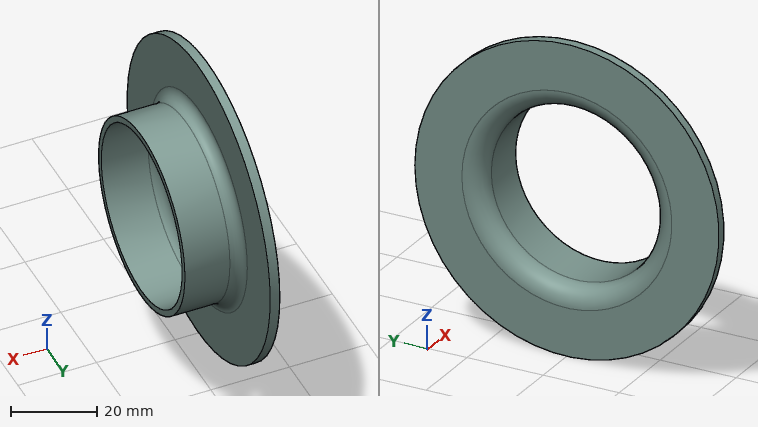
import cadquery as cq
import math

flange_diameter = 80.0
flange_thickness = 2.5
collar_outer_diameter = 48.3
collar_bore_diameter = 45.1
total_length = 17.0
mouth_radius = 5.0
neck_radius = 3.0

flange_radius = flange_diameter / 2
collar_radius = collar_outer_diameter / 2
bore_radius = collar_bore_diameter / 2
neck_end = flange_thickness + neck_radius

arc_gap = 1 - math.sqrt(0.5)


def half_section():
    """Closed profile in the XY plane, with Y as the distance from the axis."""
    neck_middle = (
        flange_thickness + neck_radius * arc_gap,
        collar_radius + neck_radius * arc_gap,
    )
    mouth_middle = (
        mouth_radius * arc_gap,
        bore_radius + mouth_radius * arc_gap,
    )
    return (
        cq.Workplane("XY")
        .moveTo(0, bore_radius + mouth_radius)
        .lineTo(0, flange_radius)
        .lineTo(flange_thickness, flange_radius)
        .lineTo(flange_thickness, collar_radius + neck_radius)
        .threePointArc(neck_middle, (neck_end, collar_radius))
        .lineTo(total_length, collar_radius)
        .lineTo(total_length, bore_radius)
        .lineTo(mouth_radius, bore_radius)
        .threePointArc(mouth_middle, (0, bore_radius + mouth_radius))
        .close()
    )


result = half_section().revolve(360, (0, 0, 0), (1, 0, 0))